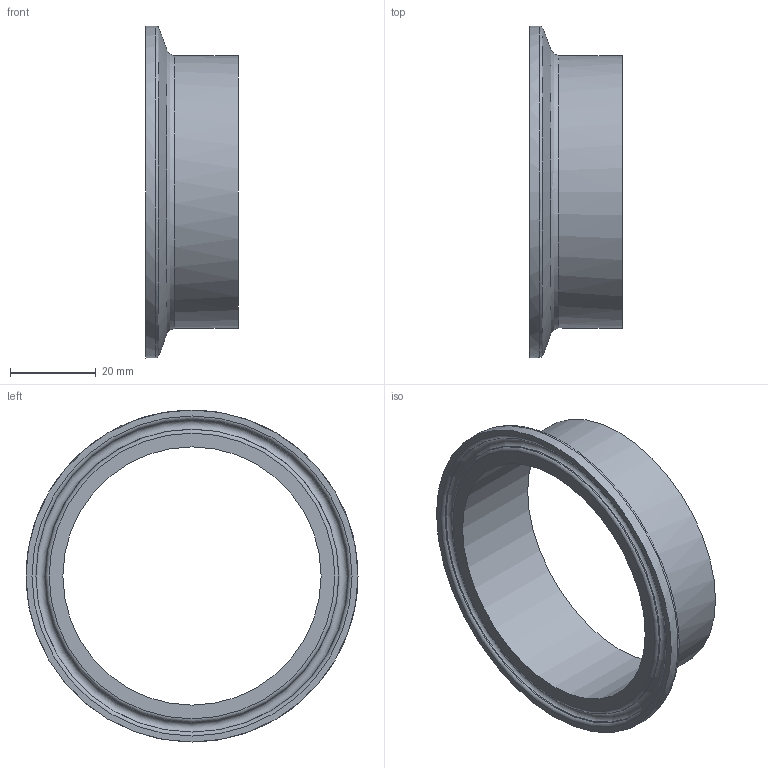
import cadquery as cq
import math

FERRULE_LENGTH = 21.5
FLANGE_RADIUS = 77.5 / 2
TUBE_OUTER_RADIUS = 63.7 / 2
BORE_RADIUS = 60.3 / 2

RIM_THICKNESS = 2.85
CLAMP_ANGLE = math.radians(20)
RIM_ROUNDING = 0.8
NECK_FILLET = 2.0
NECK_X = RIM_THICKNESS + (FLANGE_RADIUS - TUBE_OUTER_RADIUS) * math.tan(CLAMP_ANGLE)

GROOVE_CENTER_RADIUS = 70.7 / 2
GROOVE_WIDTH = 4.0
GROOVE_BOTTOM_ROUNDING = 1.15
GROOVE_LIP_ROUNDING = 0.9
FLANK_ANGLE = math.radians(70)


def revolve_about_axis(section):
    """Turn a closed section, drawn as (x, radius), about the ferrule axis."""
    return section.revolve(360, (0, 0), (1, 0))


def ferrule_blank():
    """Bored tube with a conical-backed flange, all corners sharp."""
    section = (
        cq.Workplane("XZ")
        .moveTo(0, BORE_RADIUS)
        .lineTo(0, FLANGE_RADIUS)
        .lineTo(RIM_THICKNESS, FLANGE_RADIUS)
        .lineTo(NECK_X, TUBE_OUTER_RADIUS)
        .lineTo(FERRULE_LENGTH, TUBE_OUTER_RADIUS)
        .lineTo(FERRULE_LENGTH, BORE_RADIUS)
        .close()
    )
    return revolve_about_axis(section)


def round_edge_at(body, x, radius):
    """Fillet the circular edge whose centre lies on the axis at x."""
    reach = 0.01
    edge_center = cq.selectors.BoxSelector((x - reach, -reach, -reach), (x + reach, reach, reach))
    return body.edges(edge_center).fillet(radius)


def arc_point(center, radius, angle):
    """Point on an arc; the angle is measured from +X toward the rim."""
    return (center[0] + radius * math.cos(angle), center[1] + radius * math.sin(angle))


def gasket_groove():
    """Ring to be cut from the sealing face, with a section symmetric about its centre radius."""
    half_width = GROOVE_WIDTH / 2
    rounding_sum = GROOVE_BOTTOM_ROUNDING + GROOVE_LIP_ROUNDING
    flank_width = half_width - rounding_sum * math.sin(FLANK_ANGLE)
    depth = rounding_sum * (1 - math.cos(FLANK_ANGLE)) + flank_width * math.tan(FLANK_ANGLE)

    bottom_center = (depth - GROOVE_BOTTOM_ROUNDING, GROOVE_CENTER_RADIUS)
    outer_lip_center = (GROOVE_LIP_ROUNDING, GROOVE_CENTER_RADIUS + half_width)
    inner_lip_center = (GROOVE_LIP_ROUNDING, GROOVE_CENTER_RADIUS - half_width)

    section = (
        cq.Workplane("XZ")
        .moveTo(0, GROOVE_CENTER_RADIUS - half_width)
        .threePointArc(
            arc_point(inner_lip_center, GROOVE_LIP_ROUNDING, math.pi - FLANK_ANGLE / 2),
            arc_point(inner_lip_center, GROOVE_LIP_ROUNDING, math.pi - FLANK_ANGLE),
        )
        .lineTo(*arc_point(bottom_center, GROOVE_BOTTOM_ROUNDING, -FLANK_ANGLE))
        .threePointArc(
            (depth, GROOVE_CENTER_RADIUS),
            arc_point(bottom_center, GROOVE_BOTTOM_ROUNDING, FLANK_ANGLE),
        )
        .lineTo(*arc_point(outer_lip_center, GROOVE_LIP_ROUNDING, math.pi + FLANK_ANGLE))
        .threePointArc(
            arc_point(outer_lip_center, GROOVE_LIP_ROUNDING, math.pi + FLANK_ANGLE / 2),
            (0, GROOVE_CENTER_RADIUS + half_width),
        )
        .close()
    )
    return revolve_about_axis(section)


result = ferrule_blank()
result = round_edge_at(result, RIM_THICKNESS, RIM_ROUNDING)
result = round_edge_at(result, NECK_X, NECK_FILLET)
result = result.cut(gasket_groove())